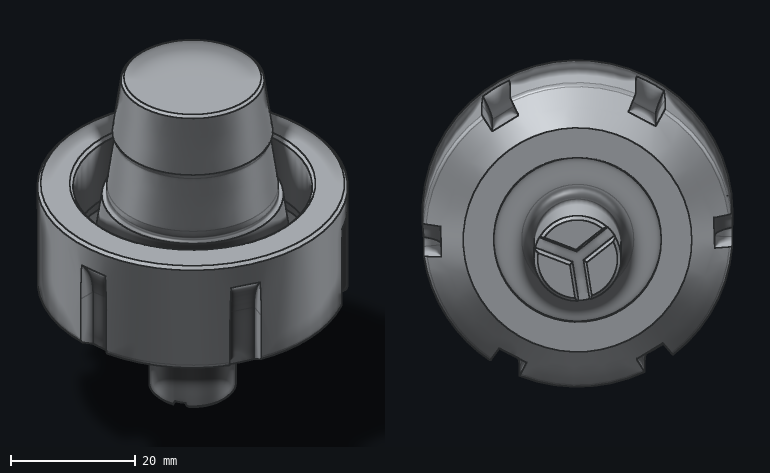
import cadquery as cq
import math

TOTAL_HEIGHT = 59.15

NUT_DIAMETER = 50.0
NUT_BOTTOM_Z = 15.75
NUT_TOP_Z = 38.8
NUT_EDGE_CHAMFER = 0.55
NUT_BASE_DIAMETER = 36.8
NUT_BASE_ANGLE = 30.0
NUT_CORNER_RADIUS = 1.0
NUT_FLOOR_Z = 25.0
BORE_DIAMETER = 38.5
BORE_CHAMFER = 0.55
RELIEF_DIAMETER = 40.5
RELIEF_HEIGHT = 2.5

WRENCH_SLOT_COUNT = 6
WRENCH_SLOT_START_ANGLE = 36.9
WRENCH_SLOT_FLOOR_WIDTH = 4.95
WRENCH_SLOT_FLARE_ANGLE = 4.0
WRENCH_SLOT_FLOOR_RADIUS = 22.0
WRENCH_SLOT_RUNOUT_Z = 27.9
WRENCH_SLOT_RUNOUT_RADIUS = 8.75

CONE_ANGLE = 8.0
COLLET_TOP_DIAMETER = 23.05
COLLET_TOP_CHAMFER = 0.5
UPPER_CONE_BOTTOM_Z = 48.75
STEP_RADIAL_DEPTH = 0.4
STEP_NECK_BOTTOM_Z = 47.85
LOWER_CONE_BOTTOM_Z = 38.55
SHOULDER_DIAMETER = 29.2
SHOULDER_Z = 36.7
COLLET_BASE_DIAMETER = 32.0

SHANK_DIAMETER = 14.0
SHANK_CHAMFER = 0.6
HEAD_DIAMETER = 27.0
FLARE_START_Z = 14.4
FLARE_RADIUS = 2.0

END_SLOT_COUNT = 3
END_SLOT_START_ANGLE = 60.0
END_SLOT_DEPTH = 1.1
END_SLOT_FLOOR_WIDTH = 1.8
END_SLOT_MOUTH_WIDTH = 2.7


def revolve_about_z(profile):
    """Revolve a closed (radius, height) profile around the Z axis."""
    return profile.close().revolve(360, (0, 0, 0), (0, 1, 0))


def make_wrench_slot(angle):
    """Cutter for one slot with flared sides, whose floor curves outward at its upper end."""
    depth = NUT_DIAMETER / 2 + 1.2 - WRENCH_SLOT_FLOOR_RADIUS
    floor_half_width = WRENCH_SLOT_FLOOR_WIDTH / 2
    mouth_half_width = floor_half_width + depth * math.tan(math.radians(WRENCH_SLOT_FLARE_ANGLE))

    def section():
        return (
            cq.Workplane("XY", origin=(WRENCH_SLOT_FLOOR_RADIUS, 0, WRENCH_SLOT_RUNOUT_Z))
            .moveTo(0, -floor_half_width)
            .lineTo(depth, -mouth_half_width)
            .lineTo(depth, mouth_half_width)
            .lineTo(0, floor_half_width)
            .close()
        )

    straight = section().extrude(NUT_BOTTOM_Z - WRENCH_SLOT_RUNOUT_Z)
    runout_axis = ((WRENCH_SLOT_RUNOUT_RADIUS, 0, 0), (WRENCH_SLOT_RUNOUT_RADIUS, 1, 0))
    runout = section().revolve(90, *runout_axis)
    return straight.union(runout).rotate((0, 0, 0), (0, 0, 1), angle)


def make_nut():
    """Ring nut with a cone-shaped underside, a relieved bore and six wrench slots."""
    radius = NUT_DIAMETER / 2
    base_radius = NUT_BASE_DIAMETER / 2
    bore_radius = BORE_DIAMETER / 2
    relief_radius = RELIEF_DIAMETER / 2
    head_radius = HEAD_DIAMETER / 2
    relief_top_z = NUT_FLOOR_Z + RELIEF_HEIGHT

    slope = math.radians(NUT_BASE_ANGLE)
    corner_z = NUT_BOTTOM_Z + (radius - base_radius) * math.tan(slope)
    turn = math.pi / 2 - slope
    tangent_length = NUT_CORNER_RADIUS * math.tan(turn / 2)
    arc_center = (radius - NUT_CORNER_RADIUS, corner_z + tangent_length)
    slope_end = (
        radius - tangent_length * math.cos(slope),
        corner_z - tangent_length * math.sin(slope),
    )
    arc_middle = (
        arc_center[0] + NUT_CORNER_RADIUS * math.cos(turn / 2),
        arc_center[1] - NUT_CORNER_RADIUS * math.sin(turn / 2),
    )

    nut = revolve_about_z(
        cq.Workplane("XZ")
        .moveTo(head_radius, NUT_BOTTOM_Z)
        .lineTo(base_radius, NUT_BOTTOM_Z)
        .lineTo(*slope_end)
        .threePointArc(arc_middle, (radius, arc_center[1]))
        .lineTo(radius, NUT_TOP_Z - NUT_EDGE_CHAMFER)
        .lineTo(radius - NUT_EDGE_CHAMFER, NUT_TOP_Z)
        .lineTo(bore_radius + BORE_CHAMFER, NUT_TOP_Z)
        .lineTo(bore_radius, NUT_TOP_Z - BORE_CHAMFER)
        .lineTo(bore_radius, relief_top_z)
        .lineTo(relief_radius, relief_top_z)
        .lineTo(relief_radius, NUT_FLOOR_Z)
        .lineTo(head_radius, NUT_FLOOR_Z)
    )
    for index in range(WRENCH_SLOT_COUNT):
        angle = WRENCH_SLOT_START_ANGLE + index * 360 / WRENCH_SLOT_COUNT
        nut = nut.cut(make_wrench_slot(angle))
    return nut


def make_collet():
    """Tapered collet with a small step, a filleted shoulder and a wider base cone."""
    taper = math.tan(math.radians(CONE_ANGLE))
    top_radius = COLLET_TOP_DIAMETER / 2
    upper_cone_top_z = TOTAL_HEIGHT - COLLET_TOP_CHAMFER
    step_radius = top_radius + (upper_cone_top_z - UPPER_CONE_BOTTOM_Z) * taper
    neck_radius = step_radius - STEP_RADIAL_DEPTH

    step_height = UPPER_CONE_BOTTOM_Z - STEP_NECK_BOTTOM_Z
    step_arc_radius = (step_height**2 + STEP_RADIAL_DEPTH**2) / (2 * STEP_RADIAL_DEPTH)
    half_sweep = math.asin(step_height / step_arc_radius) / 2
    step_arc_middle = (
        neck_radius + step_arc_radius * (1 - math.cos(half_sweep)),
        STEP_NECK_BOTTOM_Z + step_arc_radius * math.sin(half_sweep),
    )

    waist_radius = neck_radius + (STEP_NECK_BOTTOM_Z - LOWER_CONE_BOTTOM_Z) * taper
    shoulder_radius = SHOULDER_DIAMETER / 2
    shoulder_fillet = shoulder_radius - waist_radius
    fillet_middle_offset = shoulder_fillet * (1 - math.sqrt(0.5))
    base_radius = COLLET_BASE_DIAMETER / 2
    base_cone_bottom_z = SHOULDER_Z - (base_radius - shoulder_radius) / taper

    return revolve_about_z(
        cq.Workplane("XZ")
        .moveTo(0, NUT_FLOOR_Z)
        .lineTo(base_radius, NUT_FLOOR_Z)
        .lineTo(base_radius, base_cone_bottom_z)
        .lineTo(shoulder_radius, SHOULDER_Z)
        .threePointArc(
            (waist_radius + fillet_middle_offset, SHOULDER_Z + fillet_middle_offset),
            (waist_radius, SHOULDER_Z + shoulder_fillet),
        )
        .lineTo(waist_radius, LOWER_CONE_BOTTOM_Z)
        .lineTo(neck_radius, STEP_NECK_BOTTOM_Z)
        .threePointArc(step_arc_middle, (step_radius, UPPER_CONE_BOTTOM_Z))
        .lineTo(top_radius, upper_cone_top_z)
        .lineTo(top_radius - COLLET_TOP_CHAMFER, TOTAL_HEIGHT)
        .lineTo(0, TOTAL_HEIGHT)
    )


def make_end_slot(angle):
    """Cutter for one radial slot, wider at its mouth, running out from the shank axis."""
    cutter = (
        cq.Workplane("YZ")
        .moveTo(-END_SLOT_MOUTH_WIDTH / 2, 0)
        .lineTo(END_SLOT_MOUTH_WIDTH / 2, 0)
        .lineTo(END_SLOT_FLOOR_WIDTH / 2, END_SLOT_DEPTH)
        .lineTo(-END_SLOT_FLOOR_WIDTH / 2, END_SLOT_DEPTH)
        .close()
        .extrude(SHANK_DIAMETER)
    )
    return cutter.rotate((0, 0, 0), (0, 0, 1), angle)


def make_shank():
    """Round shank flaring into a head that fills the hole in the nut floor."""
    radius = SHANK_DIAMETER / 2
    head_radius = HEAD_DIAMETER / 2
    flare_end_z = FLARE_START_Z + FLARE_RADIUS
    flare_middle_offset = FLARE_RADIUS * (1 - math.sqrt(0.5))

    shank = revolve_about_z(
        cq.Workplane("XZ")
        .moveTo(0, 0)
        .lineTo(radius - SHANK_CHAMFER, 0)
        .lineTo(radius, SHANK_CHAMFER)
        .lineTo(radius, FLARE_START_Z)
        .threePointArc(
            (radius + flare_middle_offset, flare_end_z - flare_middle_offset),
            (radius + FLARE_RADIUS, flare_end_z),
        )
        .lineTo(head_radius, flare_end_z)
        .lineTo(head_radius, NUT_FLOOR_Z)
        .lineTo(0, NUT_FLOOR_Z)
    )
    for index in range(END_SLOT_COUNT):
        angle = END_SLOT_START_ANGLE + index * 360 / END_SLOT_COUNT
        shank = shank.cut(make_end_slot(angle))
    return shank


nut = make_nut()
collet = make_collet()
shank = make_shank()

result = cq.Compound.makeCompound([nut.solids().val(), collet.val(), shank.solids().val()])